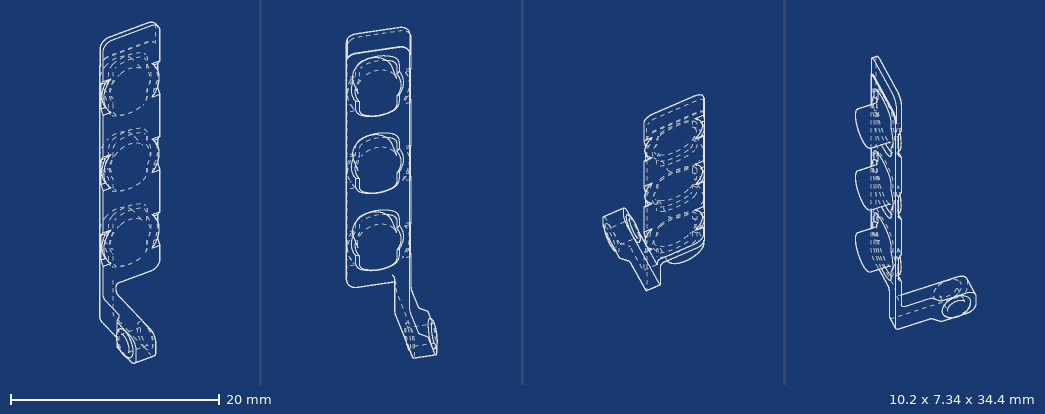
import cadquery as cq
import math

length_x = 10.2
height = 34.43

panel_front = 2.05
panel_thick = 0.65
panel_back = panel_front + panel_thick
panel_width = 6.37
panel_bottom = 4.25
corner_radius = 1.05
rim_radius = 0.48
lip_height = 2.4
lip_step = 0.1

button_y = panel_width / 2
button_count = 3
button_pitch = 9.3
lowest_button = 9.05
button_heights = [lowest_button + i * button_pitch for i in range(button_count)]
button_radius = 2.0
button_edge = 0.2
button_root = 0.3
recess_depth = 0.3
recess_slope = 0.3
recess_half_width = 2.17
recess_end_radius = 3.6
recess_corner = 1.17
moat_radius = 2.58

notch_depth = 0.35
notch_half_outer = 2.05
notch_half_inner = 1.5
pad_radius = 3.1

neck_width = 1.48
neck_foot_radius = 0.4
neck_corner = 0.3
arm_height = 3.1
arm_corner = 0.38
arm_end_radius = 1.05
jog_start = 5.82
jog_depth = 0.72
jog_inner_radius = 0.28
jog_outer_radius = 0.35

eye_x = 8.13
eye_z = arm_height / 2
eye_radius = 1.48
eye_bore = 0.93
eye_lip_low = 0.25
eye_lip_high = 0.17


def box(x0, x1, y0, y1, z0, z1):
    return cq.Workplane("XY").box(x1 - x0, y1 - y0, z1 - z0, centered=False).translate((x0, y0, z0))


def facing_back(x, y, z):
    """Sketch plane with its normal along +X, local x along +Y and local y along +Z."""
    return cq.Workplane(cq.Plane(origin=(x, y, z), xDir=(0, 1, 0), normal=(1, 0, 0)))


def round_topped_slab(thickness, top):
    slab = box(panel_front, panel_front + thickness, 0, panel_width, panel_bottom, top)
    return slab.edges("|X and >Z").fillet(corner_radius)


def make_panel():
    plate = box(panel_front, panel_back, 0, panel_width, panel_bottom, height)
    plate = plate.edges("|X and >Y and <Z").fillet(corner_radius)
    rim = plate.faces("<X").edges("not(<Y or >Z)")
    plate = plate.newObject(rim.vals()).fillet(rim_radius)
    return plate.intersect(round_topped_slab(panel_thick, height))


def cut_lip(plate):
    """Thin the top of the panel above a ledge whose ends are rounded like the panel corners."""
    ledge = height - lip_height
    step = box(panel_front, panel_front + lip_step, 0, panel_width, ledge - corner_radius, height)
    return plate.cut(step.cut(round_topped_slab(lip_step, ledge)))


def recess(z):
    """Sloped recess: a wide slot with arched ends, joined with a round moat about the button."""
    taper = math.degrees(math.atan2(recess_slope, recess_depth))
    corner_y = recess_half_width - recess_corner
    corner_reach = recess_end_radius - recess_corner
    corner_z = math.sqrt(corner_reach**2 - corner_y**2)
    tangent_y = corner_y * recess_end_radius / corner_reach
    tangent_z = corner_z * recess_end_radius / corner_reach
    diagonal = math.atan2(corner_z, corner_y) / 2
    middle_y = corner_y + recess_corner * math.cos(diagonal)
    middle_z = corner_z + recess_corner * math.sin(diagonal)

    start = facing_back(panel_front, button_y, z)
    slot = (
        start.moveTo(recess_half_width, -corner_z)
        .lineTo(recess_half_width, corner_z)
        .threePointArc((middle_y, middle_z), (tangent_y, tangent_z))
        .threePointArc((0, recess_end_radius), (-tangent_y, tangent_z))
        .threePointArc((-middle_y, middle_z), (-recess_half_width, corner_z))
        .lineTo(-recess_half_width, -corner_z)
        .threePointArc((-middle_y, -middle_z), (-tangent_y, -tangent_z))
        .threePointArc((0, -recess_end_radius), (tangent_y, -tangent_z))
        .threePointArc((middle_y, -middle_z), (recess_half_width, -corner_z))
        .close()
        .extrude(recess_depth, taper=taper)
    )
    moat = start.circle(moat_radius).extrude(recess_depth, taper=taper)
    return slot.union(moat)


def button(z):
    """Round button with a softened tip and a root that curves out onto the recess floor."""
    floor = panel_front + recess_depth
    root_radius = button_radius + button_root
    return (
        cq.Workplane("XY")
        .moveTo(panel_back, 0)
        .lineTo(0, 0)
        .lineTo(0, button_radius - button_edge)
        .radiusArc((button_edge, button_radius), button_edge)
        .lineTo(floor - button_root, button_radius)
        .radiusArc((floor, root_radius), -button_root)
        .lineTo(panel_back, root_radius)
        .close()
        .revolve(360, (0, 0, 0), (1, 0, 0))
        .translate((0, button_y, z))
    )


def notches(z):
    floor = panel_back - notch_depth
    channel = (
        cq.Workplane("XZ")
        .polyline([
            (panel_back, z - notch_half_outer),
            (floor, z - notch_half_inner),
            (floor, z + notch_half_inner),
            (panel_back, z + notch_half_outer),
        ])
        .close()
        .extrude(-panel_width)
    )
    pad = facing_back(floor, button_y, z).circle(pad_radius).extrude(notch_depth)
    return channel.cut(pad)


def make_arm():
    """Neck and arm: an L seen along Y, with the arm end thickened towards -Y past a sloped jog."""
    neck_top = panel_bottom + rim_radius
    neck = box(panel_front, panel_back, 0, neck_width, 0, neck_top)
    jog_end = jog_start + jog_depth
    arm = (
        cq.Workplane("XY")
        .polyline([
            (panel_front, 0),
            (jog_start, 0),
            (jog_end, -jog_depth),
            (length_x, -jog_depth),
            (length_x, neck_width),
            (panel_front, neck_width),
        ])
        .close()
        .extrude(arm_height)
    )
    arm = arm.edges(cq.selectors.NearestToPointSelector((jog_start, 0, eye_z))).fillet(jog_inner_radius)
    arm = arm.edges(cq.selectors.NearestToPointSelector((jog_end, -jog_depth, eye_z))).fillet(jog_outer_radius)
    arm = arm.faces(">X").edges("|Y").fillet(arm_end_radius)
    arm = arm.union(neck)
    arm = arm.edges("|Y and <X and <Z").fillet(neck_foot_radius)
    inside_corner = cq.selectors.NearestToPointSelector((panel_back, neck_width / 2, arm_height))
    return arm.edges(inside_corner).fillet(arm_corner)


def add_eye(body):
    """Bushing through the arm end, proud of both faces, with half-round rims."""
    rim_round = (eye_radius - eye_bore) / 2
    middle = eye_bore + rim_round
    low_end = -jog_depth - eye_lip_low
    high_end = neck_width + eye_lip_high
    bushing = (
        cq.Workplane("XY")
        .moveTo(eye_bore, low_end + rim_round)
        .threePointArc((middle, low_end), (eye_radius, low_end + rim_round))
        .lineTo(eye_radius, high_end - rim_round)
        .threePointArc((middle, high_end), (eye_bore, high_end - rim_round))
        .close()
        .revolve(360, (0, 0, 0), (0, 1, 0))
        .translate((eye_x, 0, eye_z))
    )
    seat = cq.Workplane("XZ", origin=(eye_x, low_end, eye_z)).circle(middle).extrude(low_end - high_end)
    return body.cut(seat).union(bushing)


panel = cut_lip(make_panel())
for button_z in button_heights:
    panel = panel.cut(recess(button_z)).cut(notches(button_z)).union(button(button_z))

body = panel.union(make_arm())
panel_meets_neck = cq.selectors.NearestToPointSelector((panel_back, neck_width, panel_bottom))
body = body.edges("|X").edges(panel_meets_neck).fillet(neck_corner)
result = add_eye(body)